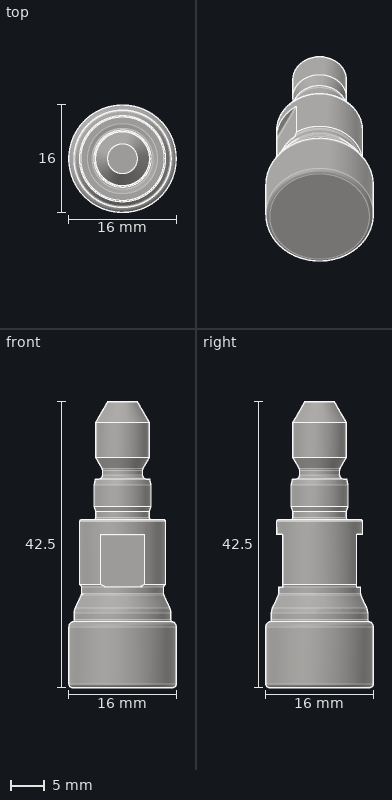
import cadquery as cq
import math

cap_diameter = 16.0
cap_height = 9.86
cap_bottom_round = 0.6
cap_top_round = 0.8

overall_height = 42.5
base_diameter = 14.4
base_rim_diameter = 14.5
base_flare_top_height = 10.15
base_cone_angle = 25.0
neck_diameter = 12.2
neck_bottom_height = 13.88
neck_top_height = 15.06
collar_bottom_height = 15.37
collar_diameter = 12.8
collar_top_height = 25.0
collar_top_chamfer = 0.2
dish_diameter = 10.4
dish_angle = 10.0
foot_diameter = 8.0
foot_top_height = 26.2
land_diameter = 8.5
land_bottom_height = 26.95
land_top_height = 30.1
shoulder_diameter = 8.1
shoulder_height = 31.0
groove_diameter = 6.0
tip_diameter = 8.0
tip_bottom_height = 34.2
tip_top_height = 39.4
tip_cone_angle = 30.0

base_round = 1.8
neck_round = 0.6
collar_round = 0.3
foot_round = 0.45
groove_round = 0.6

flat_width = 11.0
flat_top_height = 22.8
flat_bottom_height = 14.95
flat_corner_round = 0.1

base_cone_height = (base_diameter - neck_diameter) / 2 / math.tan(math.radians(base_cone_angle))
base_top_height = neck_bottom_height - base_cone_height
dish_depth = (dish_diameter - foot_diameter) / 2 * math.tan(math.radians(dish_angle))
dish_height = collar_top_height - dish_depth
tip_slope = math.tan(math.radians(tip_cone_angle))
groove_top_height = tip_bottom_height - (tip_diameter - groove_diameter) / 2 / tip_slope
tip_end_radius = tip_diameter / 2 - (overall_height - tip_top_height) * tip_slope


def round_edge(solid, diameter, height, radius):
    """Fillet the circular edge of the given diameter at the given height."""
    tolerance = 1e-4

    def is_wanted(edge):
        if edge.geomType() != "CIRCLE":
            return False
        same_height = abs(edge.Center().z - height) < tolerance
        return same_height and abs(edge.radius() - diameter / 2) < tolerance

    return solid.edges().filter(is_wanted).fillet(radius)


def make_cap():
    cap = cq.Workplane("XY").circle(cap_diameter / 2).extrude(cap_height)
    cap = round_edge(cap, cap_diameter, 0, cap_bottom_round)
    return round_edge(cap, cap_diameter, cap_height, cap_top_round)


def make_turned_body():
    """Revolved body; the profile lists (radius, height) from the cap up to the tip."""
    profile = [
        (0, cap_height),
        (base_rim_diameter / 2, cap_height),
        (base_diameter / 2, base_flare_top_height),
        (base_diameter / 2, base_top_height),
        (neck_diameter / 2, neck_bottom_height),
        (neck_diameter / 2, neck_top_height),
        (collar_diameter / 2, collar_bottom_height),
        (collar_diameter / 2, collar_top_height - collar_top_chamfer),
        (collar_diameter / 2 - collar_top_chamfer, collar_top_height),
        (dish_diameter / 2, collar_top_height),
        (foot_diameter / 2, dish_height),
        (foot_diameter / 2, foot_top_height),
        (land_diameter / 2, land_bottom_height),
        (land_diameter / 2, land_top_height),
        (shoulder_diameter / 2, shoulder_height),
        (groove_diameter / 2, shoulder_height),
        (groove_diameter / 2, groove_top_height),
        (tip_diameter / 2, tip_bottom_height),
        (tip_diameter / 2, tip_top_height),
        (tip_end_radius, overall_height),
        (0, overall_height),
    ]
    turned = cq.Workplane("XZ").polyline(profile).close().revolve(360, (0, 0), (0, 1))
    turned = round_edge(turned, base_diameter, base_top_height, base_round)
    turned = round_edge(turned, neck_diameter, neck_bottom_height, neck_round)
    turned = round_edge(turned, neck_diameter, neck_top_height, collar_round)
    turned = round_edge(turned, foot_diameter, dish_height, foot_round)
    turned = round_edge(turned, groove_diameter, shoulder_height, groove_round)
    return round_edge(turned, groove_diameter, groove_top_height, groove_round)


def make_flat_cutter(side):
    """Block that removes everything beyond one wrench flat; side is -1 or +1 along Y."""
    depth = (collar_diameter - flat_width) / 2
    height = flat_top_height - flat_bottom_height
    cutter = cq.Workplane("XY").box(collar_diameter, depth, height)
    inner_face = "<Y" if side > 0 else ">Y"
    cutter = cutter.faces(inner_face).edges("|X").fillet(flat_corner_round)
    middle_y = side * (flat_width + depth) / 2
    middle_z = (flat_top_height + flat_bottom_height) / 2
    return cutter.translate((0, middle_y, middle_z))


def make_body():
    body = make_turned_body()
    for side in (-1, 1):
        body = body.cut(make_flat_cutter(side))
    return body


cap = make_cap()
body = make_body()
result = cq.Compound.makeCompound([cap.val(), body.val()])